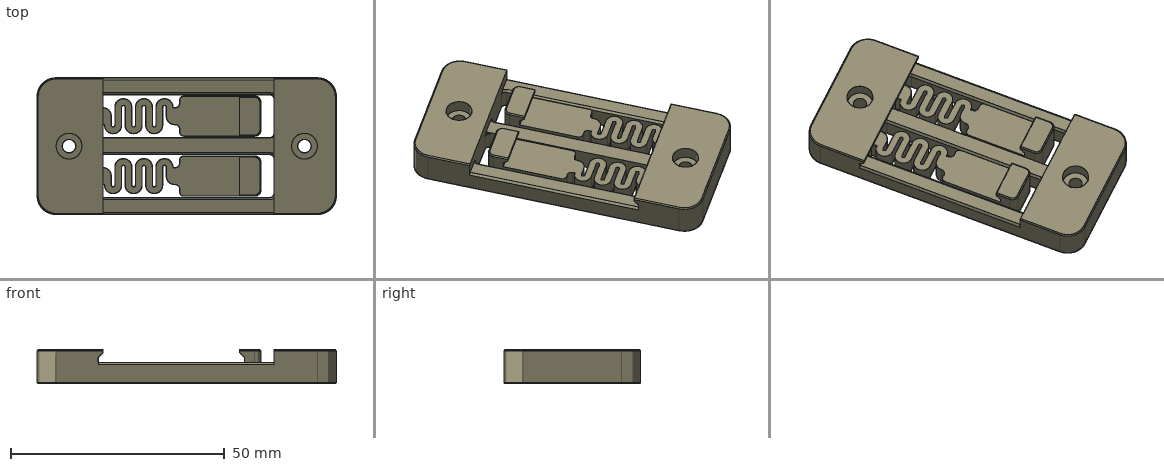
import cadquery as cq

length = 70.0
width = 32.0
height = 8.0
corner_radius = 4.5
edge_chamfer = 0.3

rail_top = 5.0
recess_left = -20.65
recess_right = 20.4
rail_chamfer = 0.5

lip_overhang = 1.1
lip_height = 0.7

window_pitch = 14.0
window_width = 10.0
window_radius = 1.0
window_centres = [-window_pitch / 2, window_pitch / 2]
middle_rail_width = window_pitch - window_width

slider_left = -1.7
slider_right = 17.35
slider_width = 9.4
slider_left_radius = 1.0
slider_right_radius = 1.5
hook_face = 13.45

spring_start = -17.2
spring_end = -2.8
bend_count = 6
strip_width = 1.6
bend_offset = 2.1
neck_fillet = 1.0

hole_spacing = 55.0
hole_diameter = 3.1
counterbore_diameter = 6.0
counterbore_depth = 3.0

leg_pitch = (spring_end - spring_start) / bend_count
inner_bend = (leg_pitch - strip_width) / 2
outer_bend = inner_bend + strip_width
neck_width = 2 * outer_bend


def slab(x_limits, y_limits, z_limits):
    """Axis-aligned box between the given limits."""
    sizes = [high - low for low, high in (x_limits, y_limits, z_limits)]
    corner = (x_limits[0], y_limits[0], z_limits[0])
    return cq.Workplane("XY").box(*sizes, centered=False).translate(corner)


def centred_slab(x_limits, y_size, z_limits):
    """Box that is symmetric about Y = 0."""
    return slab(x_limits, (-y_size / 2, y_size / 2), z_limits)


def disc(x, y, radius):
    """Upright cylinder from the underside to the top of the rails."""
    return cq.Workplane("XY").center(x, y).circle(radius).extrude(rail_top)


def base_block():
    """Rounded block with the recess cut out, leaving a lip on the left end block."""
    block = cq.Workplane("XY").box(length, width, height, centered=(True, True, False))
    block = block.edges("|Z").fillet(corner_radius)
    block = block.faces("<Z or >Z").chamfer(edge_chamfer)
    lip_edge = recess_left + lip_overhang
    lip_bottom = height - lip_height
    recess = (
        cq.Workplane("XZ")
        .moveTo(recess_left, rail_top)
        .lineTo(recess_right, rail_top)
        .lineTo(recess_right, height)
        .lineTo(lip_edge, height)
        .lineTo(lip_edge, lip_bottom)
        .lineTo(recess_left, lip_bottom - lip_overhang)
        .close()
        .extrude(width, both=True)
    )
    return block.cut(recess)


def rail_outer_bevel():
    """Wedge that bevels the outer top edge of the +Y rail."""
    return (
        cq.Workplane("YZ", origin=(recess_left, 0, 0))
        .moveTo(width / 2, rail_top)
        .lineTo(width / 2 - rail_chamfer, rail_top)
        .lineTo(width / 2, rail_top - rail_chamfer)
        .close()
        .extrude(recess_right - recess_left)
    )


def window():
    """Rounded opening centred on Y = 0, flared at the top to bevel the rails."""
    opening = centred_slab((recess_left, recess_right), window_width, (0, rail_top))
    opening = opening.edges("|Z").fillet(window_radius)
    flare = centred_slab(
        (recess_left - rail_chamfer, recess_right + rail_chamfer),
        window_width + 2 * rail_chamfer,
        (rail_top - rail_chamfer, height),
    )
    flare = flare.edges("|Z").fillet(window_radius + rail_chamfer)
    flare = flare.faces("<Z").chamfer(rail_chamfer)
    recess_space = centred_slab((recess_left, recess_right), width, (0, rail_top))
    return opening.union(flare.intersect(recess_space))


def spring_bend(x, direction):
    """U-bend of the strip centred on x; direction is +1 for a bend at +Y, -1 at -Y."""
    bend_y = direction * bend_offset
    leg_span = sorted((0, bend_y))
    outside = slab((x - outer_bend, x + outer_bend), leg_span, (0, rail_top))
    outside = outside.union(disc(x, bend_y, outer_bend))
    inside = slab((x - inner_bend, x + inner_bend), leg_span, (0, rail_top))
    inside = inside.union(disc(x, bend_y, inner_bend))
    return outside.cut(inside)


def spring():
    """Meander along X with a round-ended neck that joins it to the left end block."""
    neck_end = spring_start - leg_pitch
    strip = centred_slab((recess_left, neck_end), neck_width, (0, rail_top))
    strip = strip.union(disc(neck_end, 0, outer_bend))
    for bend in range(bend_count):
        direction = 1 if bend % 2 else -1
        strip = strip.union(spring_bend(spring_start + bend * leg_pitch, direction))
    return strip


def slider_hook():
    """Hook on the slider: a lip facing the left end block over a 45 degree underside."""
    lip_edge = hook_face - lip_overhang
    lip_bottom = height - lip_height
    hook = (
        cq.Workplane("XZ")
        .moveTo(hook_face, rail_top)
        .lineTo(slider_right, rail_top)
        .lineTo(slider_right, height)
        .lineTo(lip_edge, height)
        .lineTo(lip_edge, lip_bottom)
        .lineTo(hook_face, lip_bottom - lip_overhang)
        .close()
        .extrude(slider_width / 2, both=True)
    )
    hook = hook.edges("|Z and >X").fillet(slider_right_radius)
    return hook.faces(">Z").edges("not <X").chamfer(edge_chamfer)


def slider():
    """Plate with a round-ended neck towards the spring and a hook on the far end."""
    plate = centred_slab((slider_left, slider_right), slider_width, (0, rail_top))
    plate = plate.edges("|Z and <X").fillet(slider_left_radius)
    plate = plate.edges("|Z and >X").fillet(slider_right_radius)
    neck = centred_slab((spring_end, slider_left), neck_width, (0, rail_top))
    plate = plate.union(neck)
    for side in (-1, 1):
        corner = (slider_left, side * neck_width / 2, rail_top / 2)
        plate = plate.edges(cq.NearestToPointSelector(corner)).fillet(neck_fillet)
    return plate.union(disc(spring_end, 0, outer_bend)).union(slider_hook())


def screw_hole(x):
    """Counterbored through hole."""
    hole = cq.Workplane("XY").center(x, 0).circle(hole_diameter / 2).extrude(height)
    counterbore = (
        cq.Workplane("XY", origin=(x, 0, height - counterbore_depth))
        .circle(counterbore_diameter / 2)
        .extrude(counterbore_depth)
    )
    return hole.union(counterbore)


frame = base_block()
frame = frame.cut(rail_outer_bevel()).cut(rail_outer_bevel().mirror("XZ"))
for centre_y in window_centres:
    frame = frame.cut(window().translate((0, centre_y, 0)))

sharp_edge = slab(
    (recess_left, recess_right),
    (0, middle_rail_width / 2),
    (rail_top - rail_chamfer, rail_top),
)
frame = frame.union(sharp_edge)

result = frame
spring_slider = spring().union(slider())
for centre_y in window_centres:
    result = result.union(spring_slider.translate((0, centre_y, 0)))

for hole_x in (-hole_spacing / 2, hole_spacing / 2):
    result = result.cut(screw_hole(hole_x))